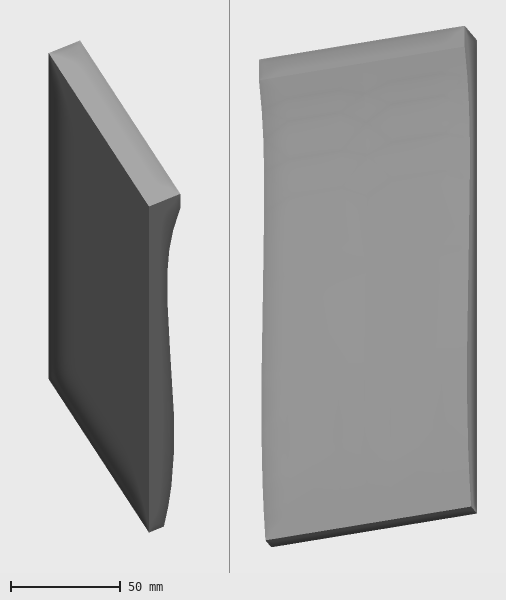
import cadquery as cq

width = 100.0
height = 240.0
top_thickness = 16.0

flat_lip_height = 10.5
neck_z = 208.8
neck_thickness = 11.3
waist_z = 171.5
waist_thickness = 9.4
belly_z = 64.8
belly_thickness = 13.0
bottom_thickness = 7.7

lip_z = height - flat_lip_height
back_curve = [
    (neck_thickness, neck_z),
    (waist_thickness, waist_z),
    (belly_thickness, belly_z),
    (bottom_thickness, 0),
]
profile = (
    cq.Workplane("YZ")
    .moveTo(0, 0)
    .lineTo(0, height)
    .lineTo(top_thickness, height)
    .lineTo(top_thickness, lip_z)
    .spline(back_curve, includeCurrent=True)
    .close()
)

result = profile.extrude(width / 2, both=True)